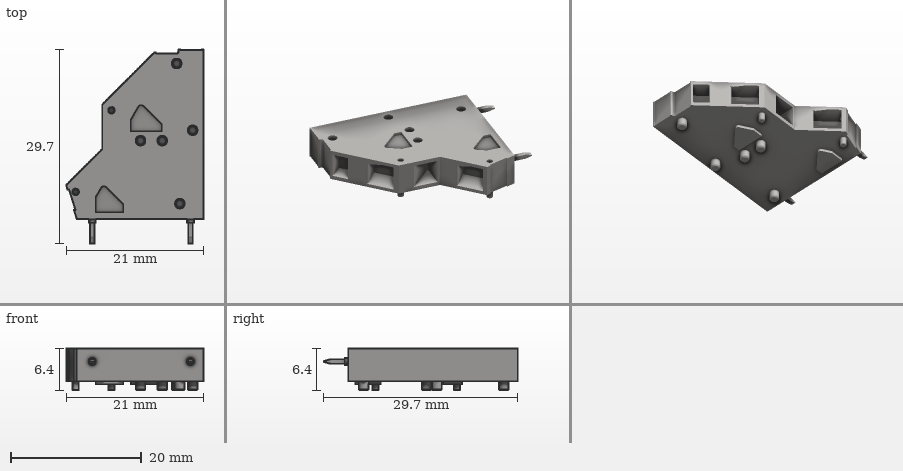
import cadquery as cq
import math


thickness = 5.03
foot_left = -19.37
nose_x = -21.0
nose_y = 5.17
waist_x = -15.48
waist_top_y = 17.5
ledge_y = 25.48
tower_left = -3.86
tower_y = 25.95
tower_left_radius = 0.2
tower_right_radius = 0.1
waist_bottom_y = nose_y + (waist_x - nose_x)
ledge_left = waist_x + (ledge_y - waist_top_y)

ledge_recess_left = -7.27
ledge_recess_right = -3.97
ledge_recess_depth = 0.16
tower_recess_left = -3.55
tower_recess_right = -0.25
tower_recess_depth = 0.1
nose_recess_bottom_y = 1.4
nose_recess_top_y = 4.5
nose_recess_depth = 0.23

large_diameter = 1.5
small_diameter = 1.0
large_places = [(-4.1, 23.77), (-1.66, 13.57), (-9.62, 11.98), (-6.31, 11.98), (-3.62, 2.36)]
small_places = [(-14.07, 16.62), (-19.54, 4.15)]
peg_length = 1.37
large_peg_chamfer = 0.18
small_peg_chamfer = 0.1
large_socket_chamfer = 0.18
small_socket_chamfer = 0.1
socket_depth = 1.5

pad_height = 0.45
pad_pocket_depth = 0.5
pad_nose_radius = 0.5
left_slope = math.tan(math.radians(60))
pads = [
    (-11.1, 13.4, 4.68, 1.8, 1.12),
    (-16.47, 1.05, 4.23, 2.3, 1.19),
]

funnel_top_ys = [21.1, 8.65]
funnel_length = 4.25
funnel_depth = 2.3
funnel_bottom_z = 0.54
funnel_floor_z = 1.34
funnel_wall_z = 4.12
funnel_top_z = 4.48
funnel_corner_start = 0.4
funnel_corner_end = 2.3
funnel_edge_radius = 0.3

slot_bottom_z = 0.63
slot_top_z = 4.38
upper_slot_top_y = 25.25
upper_slot_bottom_y = 23.45
waist_slot_top_y = 15.0
waist_slot_bottom_y = 11.1

pin_xs = [-17.0, -2.0]
pin_z = 3.04
collar_diameter = 1.12
collar_length = 0.55
pin_width = 0.72
pin_length = 3.75
pin_taper_length = 1.03
pin_tip_thickness = 0.14


def prism(points, bottom, top):
    return cq.Workplane("XY").workplane(offset=bottom).polyline(points).close().extrude(top - bottom)


def polyhedron(points, faces):
    """Solid bounded by flat faces, each given as indices into the points."""
    vectors = [cq.Vector(*point) for point in points]
    flat_faces = []
    for face in faces:
        outline = cq.Wire.makePolygon([vectors[i] for i in face], close=True)
        flat_faces.append(cq.Face.makeFromWires(outline))
    return cq.Workplane(cq.Solid.makeSolid(cq.Shell.makeShell(flat_faces)))


def housing():
    outline = [
        (0, 0),
        (foot_left, 0),
        (nose_x, nose_y),
        (waist_x, waist_bottom_y),
        (waist_x, waist_top_y),
        (ledge_left, ledge_y),
        (tower_left, ledge_y),
        (tower_left, tower_y),
        (0, tower_y),
    ]
    body = prism(outline, 0, thickness)
    body = body.faces(">Y").edges("|Z").edges("<X").fillet(tower_left_radius)
    return body.faces(">Y").edges("|Z").edges(">X").fillet(tower_right_radius)


def rear_recess(left, right, rear_y, depth):
    points = [(left, rear_y - depth), (right, rear_y - depth), (right, rear_y), (left, rear_y)]
    return prism(points, 0, thickness)


def nose_recess():
    lean = (nose_x - foot_left) / nose_y
    bottom_x = foot_left + lean * nose_recess_bottom_y
    top_x = foot_left + lean * nose_recess_top_y
    points = [
        (bottom_x - nose_recess_depth, nose_recess_bottom_y),
        (bottom_x + nose_recess_depth, nose_recess_bottom_y),
        (top_x + nose_recess_depth, nose_recess_top_y),
        (top_x - nose_recess_depth, nose_recess_top_y),
    ]
    return prism(points, 0, thickness)


def chamfered_post(place, diameter, top_z, length, chamfer):
    """Upright cylinder hanging down from top_z with a chamfered lower end."""
    post = cq.Workplane("XY").workplane(offset=top_z).center(*place).circle(diameter / 2).extrude(-length)
    return post.faces("<Z").chamfer(chamfer)


def pad(corner_x, corner_y, width, left_height, right_height, bottom, top):
    apex_offset = (width + right_height - left_height) / (1 + left_slope)
    apex = (corner_x + apex_offset, corner_y + left_height + left_slope * apex_offset)
    points = [
        (corner_x, corner_y),
        (corner_x + width, corner_y),
        (corner_x + width, corner_y + right_height),
        apex,
        (corner_x, corner_y + left_height),
    ]
    return prism(points, bottom, top).edges("|Z").edges(">Y").fillet(pad_nose_radius)


def funnel(top_x, top_y):
    """Tapered pocket square to a sloped face, from the upper corner of its opening."""
    def place(along, deep, z):
        return (top_x + (deep - along) / math.sqrt(2), top_y - (deep + along) / math.sqrt(2), z)

    main_points = [
        place(0, 0, funnel_bottom_z),
        place(funnel_length, 0, funnel_bottom_z),
        place(funnel_length, 0, funnel_wall_z),
        place(0, 0, funnel_wall_z),
        place(0, funnel_depth, funnel_floor_z),
        place(funnel_length, funnel_depth, funnel_floor_z),
        place(funnel_length, funnel_depth, funnel_wall_z),
        place(0, funnel_depth, funnel_wall_z),
    ]
    main_faces = [(0, 1, 2, 3), (4, 5, 6, 7), (0, 1, 5, 4), (3, 2, 6, 7), (0, 3, 7, 4), (1, 2, 6, 5)]
    ceiling_points = [
        place(funnel_corner_start, 0, funnel_wall_z),
        place(funnel_corner_end, 0, funnel_top_z),
        place(funnel_length, 0, funnel_top_z),
        place(funnel_length, 0, funnel_wall_z),
        place(funnel_length, funnel_depth, funnel_wall_z),
        place(funnel_corner_start, funnel_depth, funnel_wall_z),
    ]
    ceiling_faces = [(0, 1, 2, 3), (0, 1, 5), (1, 2, 4, 5), (2, 3, 4), (0, 3, 4, 5)]
    return polyhedron(main_points, main_faces).union(polyhedron(ceiling_points, ceiling_faces))


def upper_slot():
    """Square-sided slot running straight into the upper sloped face."""
    height = upper_slot_top_y - upper_slot_bottom_y
    top_x = waist_x + (upper_slot_top_y - waist_top_y)
    points = [
        (top_x, upper_slot_top_y),
        (top_x + height, upper_slot_bottom_y),
        (top_x, upper_slot_bottom_y - height),
        (top_x - height, upper_slot_bottom_y),
    ]
    return prism(points, slot_bottom_z, slot_top_z)


def waist_slot():
    """Wedge-shaped slot whose rear wall runs inward at 45 degrees."""
    depth = waist_slot_top_y - waist_slot_bottom_y
    points = [
        (waist_x, waist_slot_top_y),
        (waist_x + depth, waist_slot_bottom_y),
        (waist_x, waist_slot_bottom_y),
    ]
    return prism(points, slot_bottom_z, slot_top_z)


def solder_pin(x):
    half_width = pin_width / 2
    half_tip = pin_tip_thickness / 2
    taper_start_y = -(pin_length - pin_taper_length)
    side = [
        (0, half_width),
        (taper_start_y, half_width),
        (-pin_length, half_tip),
        (-pin_length, -half_tip),
        (taper_start_y, -half_width),
        (0, -half_width),
    ]
    blade = cq.Workplane("YZ", origin=(x, 0, pin_z)).polyline(side).close().extrude(half_width, both=True)
    collar = cq.Workplane("XZ", origin=(x, 0, pin_z)).circle(collar_diameter / 2).extrude(collar_length)
    return blade.union(collar)


result = housing()

for funnel_y in funnel_top_ys:
    if funnel_y > waist_top_y:
        funnel_x = waist_x + (funnel_y - waist_top_y)
    else:
        funnel_x = nose_x + (funnel_y - nose_y)
    middle_z = (funnel_bottom_z + funnel_wall_z) / 2
    result = result.cut(funnel(funnel_x, funnel_y))
    upper_edge = cq.selectors.NearestToPointSelector((funnel_x, funnel_y, middle_z))
    result = result.edges(upper_edge).fillet(funnel_edge_radius)

result = result.cut(upper_slot())
result = result.cut(waist_slot())

result = result.cut(rear_recess(ledge_recess_left, ledge_recess_right, ledge_y, ledge_recess_depth))
result = result.cut(rear_recess(tower_recess_left, tower_recess_right, tower_y, tower_recess_depth))
result = result.cut(nose_recess())

for spot in large_places:
    result = result.union(chamfered_post(spot, large_diameter, 0, peg_length, large_peg_chamfer))
    result = result.cut(chamfered_post(spot, large_diameter, thickness, socket_depth, large_socket_chamfer))
for spot in small_places:
    result = result.union(chamfered_post(spot, small_diameter, 0, peg_length, small_peg_chamfer))
    result = result.cut(chamfered_post(spot, small_diameter, thickness, socket_depth, small_socket_chamfer))

for pad_sizes in pads:
    result = result.union(pad(*pad_sizes, -pad_height, 0))
    result = result.cut(pad(*pad_sizes, thickness - pad_pocket_depth, thickness))

for pin_x in pin_xs:
    result = result.union(solder_pin(pin_x))